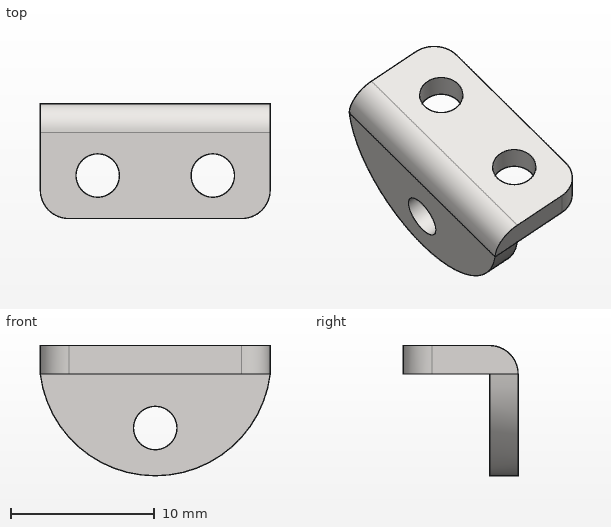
import cadquery as cq
import math

length = 16.0
depth = 8.0
thickness = 2.0
hole_diameter = 1.5 * thickness

corner_radius = thickness
bend_radius = thickness
plate_hole_spacing = length / 2
plate_hole_from_front = 1.5 * thickness

total_height = 9.07
tab_hole_below_top = 5.75


def make_plate():
    """Flat plate with rounded front corners, a rounded rear edge and two holes."""
    plate = cq.Workplane("XY").box(length, depth, thickness, centered=(True, False, False))
    plate = plate.translate((0, 0, -thickness))
    plate = plate.edges("|Z and <Y").fillet(corner_radius)

    arc_middle = bend_radius * (1 - math.sqrt(0.5))
    rear_waste = (
        cq.Workplane("YZ", origin=(-length / 2, 0, 0))
        .moveTo(depth - bend_radius, 0)
        .threePointArc((depth - arc_middle, -arc_middle), (depth, -bend_radius))
        .lineTo(depth, 0)
        .close()
        .extrude(length)
    )
    holes = (
        cq.Workplane("XY")
        .pushPoints([(side * plate_hole_spacing / 2, plate_hole_from_front) for side in (-1, 1)])
        .circle(hole_diameter / 2)
        .extrude(-thickness)
    )
    return plate.cut(rear_waste).cut(holes)


def make_tab():
    """Circular segment as wide as the plate, hanging under its rear, with one hole."""
    half_width = length / 2
    front_face = cq.Workplane("XZ", origin=(0, depth - thickness, 0))
    tab = (
        front_face.moveTo(-half_width, -thickness)
        .threePointArc((0, -total_height), (half_width, -thickness))
        .close()
        .extrude(-thickness)
    )
    hole = (
        front_face.center(0, -tab_hole_below_top)
        .circle(hole_diameter / 2)
        .extrude(-thickness)
    )
    return tab.cut(hole)


plate = make_plate()
tab = make_tab()

result = cq.Compound.makeCompound([plate.solids().val(), tab.solids().val()])